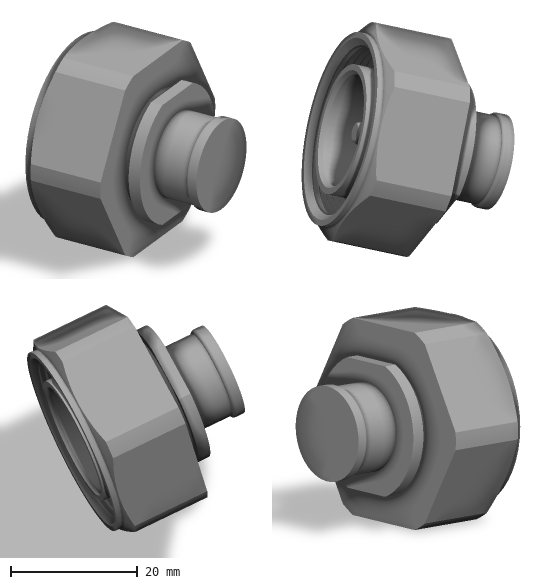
import cadquery as cq
import math

LENGTH = 26.75
RIM_END = 1.02
NUT_CHAMFER_END = 2.15
NUT_BACK = 15.0
FLANGE_FRONT = 16.55
FLANGE_BACK = 18.65
LIP_FRONT = 24.7
LIP_ROUND = 0.55

NUT_CORNER_RADIUS = 17.6
NUT_ACROSS_FLATS = 31.85
RIM_RADIUS = 15.65
COLLAR_RADIUS = 10.0
FLANGE_RADIUS = 11.52
FLANGE_ACROSS_FLATS = 21.05
BARREL_RADIUS = 7.2
LIP_RADIUS = 7.68

MOUTH_RADIUS = 14.7
BORE_RADIUS = 13.7
MOUTH_CHAMFER = 1.0
THREAD_PITCH = 1.05
THREAD_COUNT = 5
THREAD_DEPTH = 0.7
THREAD_LAND = 0.1
THREAD_WIDTH = THREAD_PITCH - THREAD_LAND
CAVITY_DEPTH = MOUTH_CHAMFER + THREAD_COUNT * THREAD_PITCH

SLEEVE_FRONT = 0.25
SLEEVE_RADIUS = 10.5
SLEEVE_MOUTH_RADIUS = 9.5
SLEEVE_BORE_RADIUS = 9.02
SLEEVE_CHAMFER = 0.65
SLEEVE_FLOOR = 6.55

PIN_TIP = 2.57
PIN_TIP_RADIUS = 1.48
PIN_CONE_END = 4.93
PIN_RADIUS = 2.55
PIN_EDGE_ROUND = 0.28
RECESS_RADIUS = 3.5
RECESS_DEPTH = 0.35
RECESS_FLOOR = SLEEVE_FLOOR + RECESS_DEPTH


def revolve_x(points):
    """Revolve an (x, radius) outline about the X axis."""
    return cq.Workplane("XY").polyline(points).close().revolve(360, (0, 0, 0), (1, 0, 0))


def cylinder(start, end, radius):
    return cq.Workplane("YZ").workplane(offset=start).circle(radius).extrude(end - start)


def make_nut():
    hexagon_diameter = NUT_ACROSS_FLATS / math.cos(math.pi / 6)
    hexagon = cq.Workplane("YZ").polygon(6, hexagon_diameter).extrude(NUT_BACK)
    envelope = revolve_x([
        (0, 0),
        (0, RIM_RADIUS),
        (RIM_END, RIM_RADIUS),
        (NUT_CHAMFER_END, NUT_CORNER_RADIUS),
        (NUT_BACK, NUT_CORNER_RADIUS),
        (NUT_BACK, 0),
    ])
    return hexagon.intersect(envelope)


def make_cavity():
    cavity = revolve_x([
        (0, 0),
        (0, MOUTH_RADIUS),
        (MOUTH_CHAMFER, BORE_RADIUS),
        (CAVITY_DEPTH, BORE_RADIUS),
        (CAVITY_DEPTH, 0),
    ])
    for index in range(THREAD_COUNT):
        start = MOUTH_CHAMFER + index * THREAD_PITCH
        groove = revolve_x([
            (start, 0),
            (start, BORE_RADIUS),
            (start + THREAD_WIDTH / 2, BORE_RADIUS + THREAD_DEPTH),
            (start + THREAD_WIDTH, BORE_RADIUS),
            (start + THREAD_WIDTH, 0),
        ])
        cavity = cavity.union(groove)
    return cavity


def make_sleeve():
    return cylinder(SLEEVE_FRONT, CAVITY_DEPTH, SLEEVE_RADIUS)


def make_sleeve_bore():
    return revolve_x([
        (SLEEVE_FRONT, 0),
        (SLEEVE_FRONT, SLEEVE_MOUTH_RADIUS),
        (SLEEVE_FRONT + SLEEVE_CHAMFER, SLEEVE_BORE_RADIUS),
        (SLEEVE_FLOOR, SLEEVE_BORE_RADIUS),
        (SLEEVE_FLOOR, RECESS_RADIUS),
        (RECESS_FLOOR, RECESS_RADIUS),
        (RECESS_FLOOR, 0),
    ])


def make_pin():
    pin = revolve_x([
        (PIN_TIP, 0),
        (PIN_TIP, PIN_TIP_RADIUS),
        (PIN_CONE_END, PIN_RADIUS),
        (RECESS_FLOOR, PIN_RADIUS),
        (RECESS_FLOOR, 0),
    ])
    cone_edges = cq.selectors.BoxSelector(
        (PIN_TIP - 0.35, -LENGTH, -LENGTH),
        (PIN_CONE_END + 0.35, LENGTH, LENGTH),
    )
    return pin.edges("%CIRCLE").edges(cone_edges).fillet(PIN_EDGE_ROUND)


def make_flange():
    disc = cylinder(FLANGE_FRONT, FLANGE_BACK, FLANGE_RADIUS)
    flats = cq.Workplane("XY").box(2 * LENGTH, 2 * FLANGE_RADIUS, FLANGE_ACROSS_FLATS)
    return disc.intersect(flats)


def make_lip():
    lip = cylinder(LIP_FRONT, LENGTH, LIP_RADIUS)
    return lip.faces("<X").edges().fillet(LIP_ROUND)


def make_tail():
    collar = cylinder(NUT_BACK, FLANGE_FRONT, COLLAR_RADIUS)
    barrel = cylinder(FLANGE_FRONT, LENGTH, BARREL_RADIUS)
    return collar.union(barrel).union(make_flange()).union(make_lip())


result = (
    make_nut()
    .cut(make_cavity())
    .union(make_sleeve())
    .cut(make_sleeve_bore())
    .union(make_pin())
    .union(make_tail())
)